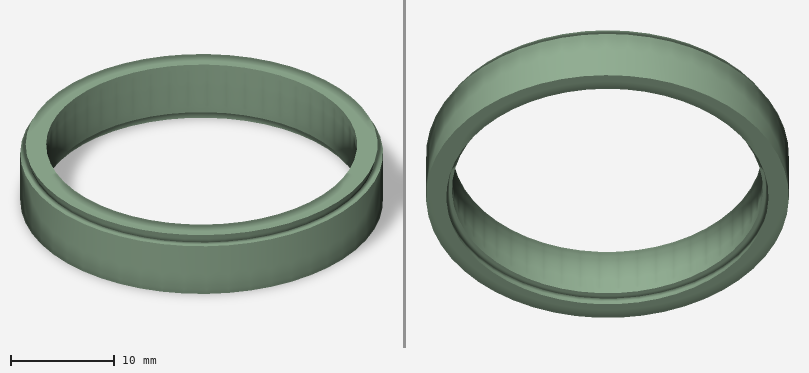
import cadquery as cq

outer_diameter = 35.0
bore_diameter = 30.0
total_height = 6.3
axial_offset = 0.95
cone_top_radius = 16.98
cone_base_radius = 15.55

outer_radius = outer_diameter / 2
bore_radius = bore_diameter / 2
outer_ring_top = total_height - axial_offset


def cone_radius(z):
    """Radius of the shared cone at height z."""
    return cone_base_radius + (cone_top_radius - cone_base_radius) * z / total_height


def revolve_about_z(profile):
    """Turn a closed list of (radius, z) points around the Z axis."""
    return cq.Workplane("XZ").polyline(profile).close().revolve(360, (0, 0), (0, 1))


def make_outer_ring():
    """Straight outside, tapered bore that widens upward."""
    return revolve_about_z([
        (cone_base_radius, 0),
        (outer_radius, 0),
        (outer_radius, outer_ring_top),
        (cone_radius(outer_ring_top), outer_ring_top),
    ])


def make_inner_ring():
    """Straight bore, tapered outside that widens upward and stands above the outer ring."""
    return revolve_about_z([
        (bore_radius, axial_offset),
        (cone_radius(axial_offset), axial_offset),
        (cone_top_radius, total_height),
        (bore_radius, total_height),
    ])


outer_ring = make_outer_ring()
inner_ring = make_inner_ring()

result = cq.Compound.makeCompound([outer_ring.val(), inner_ring.val()])